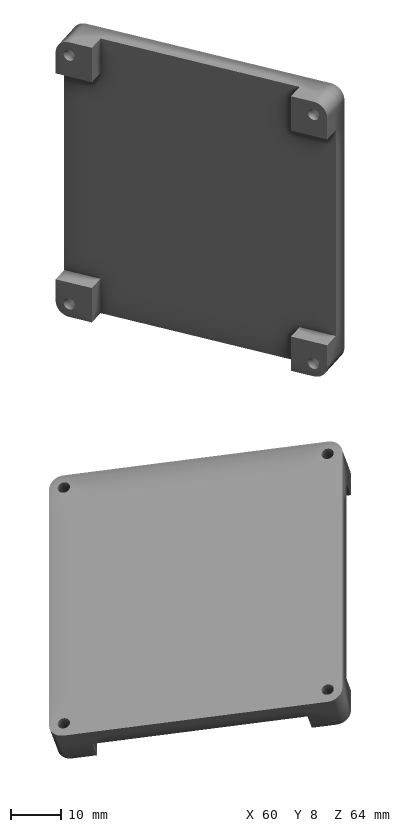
import cadquery as cq

width = 59.95
depth = 8.0
height = 64.0

plate_thickness = depth / 2
post_side = 8.0
corner_radius = 3.0

hole_diameter = 2.5
hole_inset = corner_radius


def back_plane():
    """Sketch plane on the back of the plate; extruding from it grows toward -Y."""
    return cq.Workplane("XZ", origin=(0, depth / 2, 0))


def corner_points(inset):
    """Four points on the back plane, set in from both outer sides at each corner."""
    return (
        back_plane()
        .rect(width - 2 * inset, height - 2 * inset, forConstruction=True)
        .vertices()
    )


def rounded_plate(thickness):
    """Plate with the full outline and rounded corners."""
    return back_plane().rect(width, height).extrude(thickness).edges("|Y").fillet(corner_radius)


def corner_posts():
    """Full-depth square posts, rounded where they meet the plate corners."""
    squares = corner_points(post_side / 2).rect(post_side, post_side).extrude(depth)
    return squares.intersect(rounded_plate(depth))


def screw_holes():
    """Through holes along Y, one in each post."""
    return corner_points(hole_inset).circle(hole_diameter / 2).extrude(depth)


result = rounded_plate(plate_thickness).union(corner_posts()).cut(screw_holes())